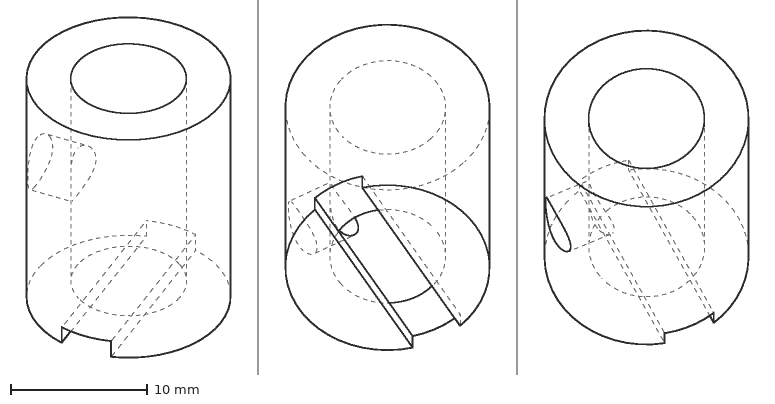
import cadquery as cq

height = 20.0
outer_diameter = 15.0
bore_diameter = 8.5
slot_width = 4.0
slot_depth = 1.45
side_hole_diameter = 4.25

floor_thickness = slot_depth
outer_radius = outer_diameter / 2
side_hole_height = height / 2


def make_body():
    """Upright cylinder standing on the XY plane."""
    return cq.Workplane("XY").circle(outer_radius).extrude(height)


def make_bore():
    """Bore from the top face down to the floor."""
    return (
        cq.Workplane("XY")
        .workplane(offset=floor_thickness)
        .circle(bore_diameter / 2)
        .extrude(height - floor_thickness)
    )


def make_bottom_slot():
    """Slot along Y across the whole bottom face, opening into the bore."""
    return cq.Workplane("XY").rect(slot_width, outer_diameter).extrude(slot_depth)


def make_side_hole():
    """Radial hole through the -X wall only, reaching the bore axis."""
    return (
        cq.Workplane("YZ")
        .center(0, side_hole_height)
        .circle(side_hole_diameter / 2)
        .extrude(-outer_radius)
    )


result = make_body().cut(make_bore()).cut(make_bottom_slot()).cut(make_side_hole())